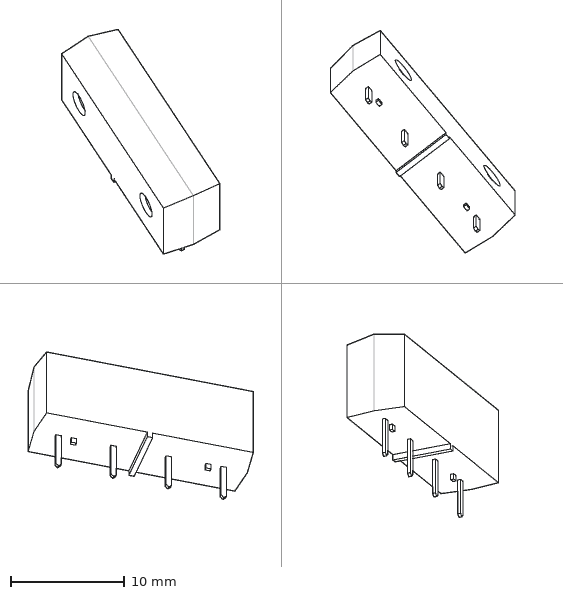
import cadquery as cq

housing_length = 19.7
housing_width = 5.65
housing_height = 7.37
end_peak = 0.32
top_peak = 0.41

recess_diameter = 2.27
recess_spacing = 12.53
recess_drop = 3.94
recess_depth = 0.5

pin_count = 4
pin_pitch = 5.08
pin_width = 0.51
pin_thickness = 0.3
pin_length = 3.5
pin_tip_length = pin_width / 2

foot_width = 0.5
foot_height = 0.51
stub_spacing = 12.41


def make_housing():
    """Intersect the peaked plan outline with the peaked end outline; bottom at Z = 0."""
    half_length = housing_length / 2
    half_width = housing_width / 2
    side_half_length = half_length - end_peak
    shoulder_height = housing_height - top_peak
    plan = [
        (-half_length, 0),
        (-side_half_length, -half_width),
        (side_half_length, -half_width),
        (half_length, 0),
        (side_half_length, half_width),
        (-side_half_length, half_width),
    ]
    profile = [
        (-half_width, 0),
        (half_width, 0),
        (half_width, shoulder_height),
        (0, housing_height),
        (-half_width, shoulder_height),
    ]
    plan_block = cq.Workplane("XY").polyline(plan).close().extrude(housing_height)
    profile_block = cq.Workplane("YZ").polyline(profile).close().extrude(half_length, both=True)
    return plan_block.intersect(profile_block)


def make_recesses():
    """Cutters for the two recesses in the front face."""
    return (
        cq.Workplane("XZ", origin=(0, -housing_width / 2, housing_height - recess_drop))
        .pushPoints([(-recess_spacing / 2, 0), (recess_spacing / 2, 0)])
        .circle(recess_diameter / 2)
        .extrude(-recess_depth)
    )


def make_pin(x):
    """Flat pin hanging from the housing bottom, tapering to a point across its width."""
    half_width = pin_width / 2
    outline = [
        (x - half_width, 0),
        (x + half_width, 0),
        (x + half_width, -pin_length + pin_tip_length),
        (x, -pin_length),
        (x - half_width, -pin_length + pin_tip_length),
    ]
    return cq.Workplane("XZ").polyline(outline).close().extrude(pin_thickness / 2, both=True)


def make_foot(x, depth):
    """Rectangular foot centred on Y = 0 below the housing."""
    return cq.Workplane("XY").center(x, 0).rect(foot_width, depth).extrude(-foot_height)


result = make_housing().cut(make_recesses())

for index in range(pin_count):
    result = result.union(make_pin((index - (pin_count - 1) / 2) * pin_pitch))

result = result.union(make_foot(0, housing_width))
for side in (-1, 1):
    result = result.union(make_foot(side * stub_spacing / 2, pin_thickness))